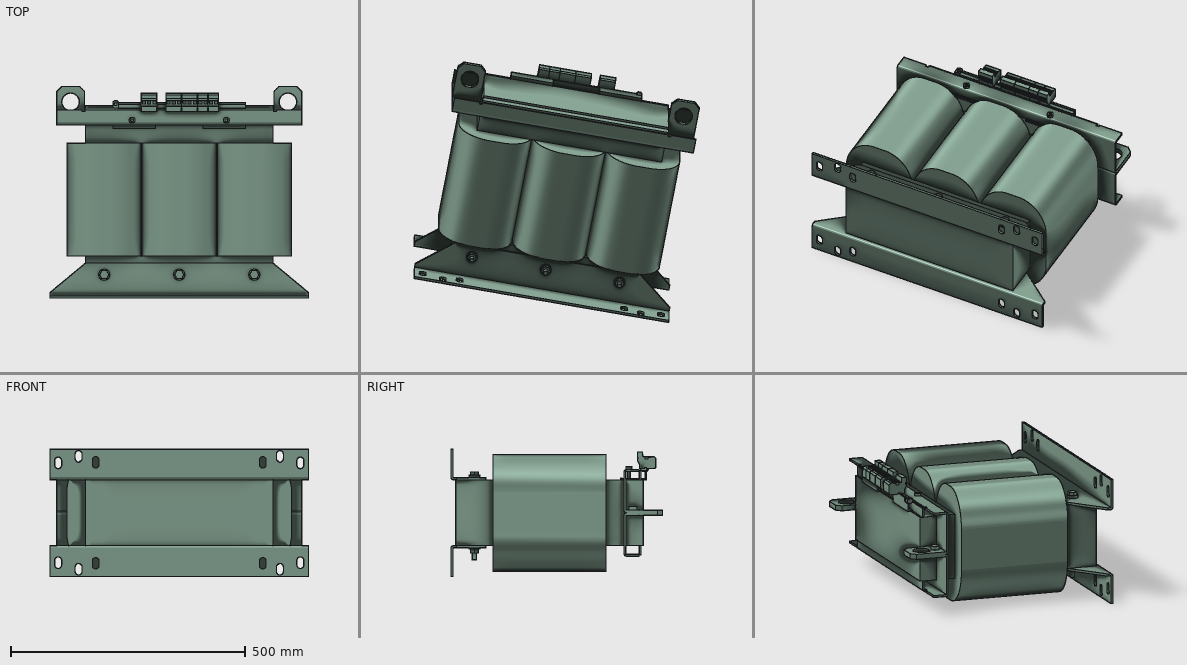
import cadquery as cq


LIMB_PITCH = 160.0
YOKE_DEPTH = 79.5
CORE_WIDTH = 2.5 * LIMB_PITCH
CORE_LENGTH = 400.0
CORE_FRONT = 10.5
CORE_TOP = 70.0
WINDOW_WIDTH = LIMB_PITCH / 2
WINDOW_LENGTH = CORE_LENGTH - 2 * YOKE_DEPTH
COIL_FRONT = CORE_FRONT + YOKE_DEPTH
COIL_HALF_WIDTH = 79.5
COIL_HALF_HEIGHT = 125.0
COIL_FLAT_HALF_WIDTH = 13.0
COIL_FLAT_HALF_HEIGHT = 44.5

FOOT_LENGTH = 552.0
FOOT_SPAN_Z = 272.0
FOOT_TOP = FOOT_SPAN_Z / 2
FOOT_SHEET = 5.0
FOOT_BEND = 6.0
FOOT_DEPTH = 75.0
FOOT_TAPER_START = 12.0
FOOT_SLOT_WIDTH = 14.5
FOOT_SLOT_HEIGHT = 24.5
FOOT_SLOTS = [(258.5, 106.5), (215.0, 120.5), (178.5, 107.5)]

BOLT_Y = 50.0
WASHER_DIAMETER = 24.0
HEX_DIAMETER = 20.0
HEAD_WASHER_HEIGHT = 5.5
HEAD_HEIGHT = 6.5
NUT_WASHER_HEIGHT = 2.0
NUT_HEIGHT = 9.0
STUD_DIAMETER = 9.5
STUD_LENGTH = 14.5

CHANNEL_LENGTH = 523.5
CHANNEL_FRONT = 369.5
CHANNEL_TOP = 93.0
CHANNEL_SHEET = 4.5
CHANNEL_BEND = 6.0
FLANGE_BACK = 402.0
LIP_BACK = 406.0
LIP_LENGTH = 403.0
LIP_TOP = 90.0
NOTCH_WIDTH = 6.0
NOTCH_DEPTH = 4.0

EYE_WIDTH = 59.5
EYE_BACK = 452.0
EYE_CHAMFER = 11.0
EYE_HOLE_DIAMETER = 37.0
EYE_HOLE_Y = 419.0
EYE_SHEET = 5.5
EYE_X = (CHANNEL_LENGTH - EYE_WIDTH) / 2
EYE_BOLT_Y = 388.5
EYE_BOLT_DIAMETER = 17.5
EYE_BOLT_HEIGHT = 8.5

BRACKET_X = 96.0
BRACKET_WIDTH = 91.0
BRACKET_FRONT = 362.0
BRACKET_BACK = 417.5
BRACKET_SHEET = 3.0
BRACKET_LIP_HEIGHT = 4.5
SCREW_X = 100.5
SCREW_Y = 380.0
SCREW_HEAD_DIAMETER = 12.5
SCREW_HEAD_HEIGHT = 5.5
SCREW_SOCKET_DIAMETER = 6.0
SCREW_SOCKET_DEPTH = 2.0
SCREW_SHANK_DIAMETER = 6.5
RAIL_FRONT = 405.0
RAIL_TOP = 95.0
RAIL_RIGHT = BRACKET_X + BRACKET_WIDTH / 2
RAIL_LEFT = -129.5
RAIL_RIDGE_BACK = 413.0
RAIL_RIDGE_HEIGHT = 1.5
END_STOP_WIDTH = 12.0
END_STOP_TOP = 97.0
END_STOP_PROFILE = [
    (405.5, END_STOP_TOP), (405.5, 91.5), (409.5, 88.0),
    (418.0, 88.0), (422.0, 91.5), (422.0, END_STOP_TOP),
]
END_STOP_CHAMFER = 3.5
END_STOP_RECESS_Y = 414.0
END_STOP_RECESS_DIAMETER = 6.5
END_STOP_RECESS_DEPTH = 2.0

ROW_LEFT = -28.5
ROW_WIDTH = 113.0
ROW_POLES = (3, 3, 2, 2)
POLE_WIDTH = ROW_WIDTH / sum(ROW_POLES)
SINGLE_LEFT = -81.0
SINGLE_POLES = 3
BLOCK_GAP = 0.5
STEP_TOP = 120.0
BLOCK_FRONT = 398.0
TERMINAL_PROFILE = [
    (402.5, 94.5), (402.5, 103.0), (BLOCK_FRONT, 111.0), (BLOCK_FRONT, 129.5), (409.0, 129.5), (410.0, STEP_TOP),
    (434.0, STEP_TOP), (438.0, 116.0), (438.0, 96.5), (434.5, 94.5),
]
ENTRY_Y = 417.5
ENTRY_SIZE = 6.5
ENTRY_DEPTH = 5.5
LABEL_FRONT = 422.5
LABEL_BACK = 426.0
FRONT_GROOVE_BOTTOM = 114.0
FRONT_GROOVE_TOP = 118.0
GROOVE_MARGIN = 1.0
GROOVE_DEPTH = 1.5


def box(x0, x1, y0, y1, z0, z1):
    """Box between two opposite corners."""
    return cq.Workplane("XY").box(x1 - x0, y1 - y0, z1 - z0, centered=False).translate((x0, y0, z0))


def rod(x, y, z, diameter, height):
    """Upright cylinder standing on (x, y, z)."""
    return cq.Workplane("XY", origin=(x, y, z)).circle(diameter / 2).extrude(height)


def hexagon(x, y, z, diameter, height):
    """Upright hexagonal prism standing on (x, y, z)."""
    return cq.Workplane("XY", origin=(x, y, z)).polygon(6, diameter).extrude(height)


def along_x(points, x0, x1):
    """Prism along X from a closed outline of (y, z) points."""
    return cq.Workplane("YZ", origin=(x0, 0, 0)).polyline(points).close().extrude(x1 - x0)


def make_core():
    half = CORE_WIDTH / 2
    core = box(-half, half, CORE_FRONT, CORE_FRONT + CORE_LENGTH, -CORE_TOP, CORE_TOP)
    windows = (
        cq.Workplane("XY", origin=(0, COIL_FRONT + WINDOW_LENGTH / 2, 0))
        .pushPoints([(-LIMB_PITCH / 2, 0), (LIMB_PITCH / 2, 0)])
        .rect(WINDOW_WIDTH, WINDOW_LENGTH)
        .extrude(CORE_TOP, both=True)
    )
    return core.cut(windows)


def make_coil(x):
    """Coil with flat sides and quarter-ellipse corners."""
    w, h = COIL_HALF_WIDTH, COIL_HALF_HEIGHT
    fw, fh = COIL_FLAT_HALF_WIDTH, COIL_FLAT_HALF_HEIGHT
    rx, rz = w - fw, h - fh
    return (
        cq.Workplane("XZ", origin=(x, COIL_FRONT, 0))
        .moveTo(w, -fh)
        .lineTo(w, fh)
        .ellipseArc(rx, rz, 0, 90)
        .lineTo(-fw, h)
        .ellipseArc(rx, rz, 90, 180)
        .lineTo(-w, -fh)
        .ellipseArc(rx, rz, 180, 270)
        .lineTo(fw, -h)
        .ellipseArc(rx, rz, 270, 360)
        .close()
        .extrude(-WINDOW_LENGTH)
    )


def make_upper_foot():
    """Angle with a tapered flange on the core and a slotted upright flange."""
    half = FOOT_LENGTH / 2
    angle = (
        box(-half, half, 0, FOOT_DEPTH, CORE_TOP, FOOT_TOP)
        .cut(box(-half, half, FOOT_SHEET, FOOT_DEPTH, CORE_TOP + FOOT_SHEET, FOOT_TOP))
        .edges(cq.NearestToPointSelector((0, 0, CORE_TOP)))
        .fillet(FOOT_BEND)
    )
    plan = (
        cq.Workplane("XY", origin=(0, 0, CORE_TOP))
        .polyline([
            (-half, 0), (half, 0), (half, FOOT_TAPER_START), (CORE_WIDTH / 2, FOOT_DEPTH),
            (-CORE_WIDTH / 2, FOOT_DEPTH), (-half, FOOT_TAPER_START),
        ])
        .close()
        .extrude(FOOT_TOP - CORE_TOP)
    )
    slots = (
        cq.Workplane("XZ")
        .pushPoints([(side * x, z) for x, z in FOOT_SLOTS for side in (-1, 1)])
        .slot2D(FOOT_SLOT_HEIGHT, FOOT_SLOT_WIDTH, 90)
        .extrude(-FOOT_SHEET)
    )
    return angle.intersect(plan).cut(slots)


def make_core_bolt(x):
    """Head and washer on the upper foot; washer, nut and stud end below the lower foot."""
    seat = CORE_TOP + FOOT_SHEET
    nut_seat = -seat - NUT_WASHER_HEIGHT
    nut_bottom = nut_seat - NUT_HEIGHT
    return (
        rod(x, BOLT_Y, seat, WASHER_DIAMETER, HEAD_WASHER_HEIGHT)
        .union(hexagon(x, BOLT_Y, seat + HEAD_WASHER_HEIGHT, HEX_DIAMETER, HEAD_HEIGHT))
        .union(rod(x, BOLT_Y, nut_seat, WASHER_DIAMETER, NUT_WASHER_HEIGHT))
        .union(hexagon(x, BOLT_Y, nut_bottom, HEX_DIAMETER, NUT_HEIGHT))
        .union(rod(x, BOLT_Y, nut_bottom - STUD_LENGTH, STUD_DIAMETER, STUD_LENGTH))
    )


def make_eye(x):
    """Lifting eye: the part of the channel's inner flange that runs out at the back."""
    length = EYE_BACK - CHANNEL_FRONT - CHANNEL_BEND
    return (
        cq.Workplane("XY", origin=(x, EYE_BACK - length / 2, 0))
        .rect(EYE_WIDTH, length)
        .extrude(EYE_SHEET)
        .edges("|Z and >Y")
        .chamfer(EYE_CHAMFER)
        .cut(rod(x, EYE_HOLE_Y, 0, EYE_HOLE_DIAMETER, EYE_SHEET))
    )


def make_upper_channel():
    """U-channel with a turned-down lip over the core and a lifting eye at each end."""
    half, lip_half = CHANNEL_LENGTH / 2, LIP_LENGTH / 2
    web_back = CHANNEL_FRONT + CHANNEL_SHEET
    flange_bottom = CHANNEL_TOP - CHANNEL_SHEET
    channel = (
        box(-half, half, CHANNEL_FRONT, FLANGE_BACK, 0, CHANNEL_TOP)
        .edges("|X and <Y")
        .fillet(CHANNEL_BEND)
        .cut(box(-half, half, web_back, FLANGE_BACK, EYE_SHEET, flange_bottom))
    )
    channel = channel.union(box(-lip_half, lip_half, FLANGE_BACK, LIP_BACK, CORE_TOP, LIP_TOP))
    for side in (-1, 1):
        eye_x = side * EYE_X
        notch_x = side * (lip_half + NOTCH_WIDTH / 2)
        notch = box(
            notch_x - NOTCH_WIDTH / 2, notch_x + NOTCH_WIDTH / 2,
            FLANGE_BACK - NOTCH_DEPTH, FLANGE_BACK, flange_bottom, CHANNEL_TOP,
        )
        channel = channel.union(make_eye(eye_x)).cut(notch)
    return channel


def make_bracket(x):
    """Rail bracket on the core: base plate, low front lip and rear wall up to the rail."""
    x0, x1 = x - BRACKET_WIDTH / 2, x + BRACKET_WIDTH / 2
    lip_back = BRACKET_FRONT + BRACKET_SHEET
    wall_front = BRACKET_BACK - BRACKET_SHEET
    base = box(x0, x1, BRACKET_FRONT, BRACKET_BACK, CORE_TOP, CORE_TOP + BRACKET_SHEET)
    lip = box(x0, x1, BRACKET_FRONT, lip_back, CORE_TOP, CORE_TOP + BRACKET_LIP_HEIGHT)
    wall = box(x0, x1, wall_front, BRACKET_BACK, CORE_TOP, RAIL_TOP)
    return base.union(lip).union(wall)


def make_screw(x):
    """Socket screw holding the channel's outer flange to a bracket."""
    head = rod(x, SCREW_Y, CHANNEL_TOP, SCREW_HEAD_DIAMETER, SCREW_HEAD_HEIGHT)
    socket_floor = CHANNEL_TOP + SCREW_HEAD_HEIGHT - SCREW_SOCKET_DEPTH
    head = head.cut(rod(x, SCREW_Y, socket_floor, SCREW_SOCKET_DIAMETER, SCREW_SOCKET_DEPTH))
    return head.union(rod(x, SCREW_Y, CORE_TOP, SCREW_SHANK_DIAMETER, CHANNEL_TOP - CORE_TOP))


def make_rail():
    """Terminal rail with a raised ridge and an end stop on the left."""
    rail = box(RAIL_LEFT, RAIL_RIGHT, RAIL_FRONT, BRACKET_BACK, CHANNEL_TOP - BRACKET_SHEET, RAIL_TOP)
    ridge = box(RAIL_LEFT, RAIL_RIGHT, RAIL_RIDGE_BACK, BRACKET_BACK, RAIL_TOP, RAIL_TOP + RAIL_RIDGE_HEIGHT)
    stop_x = RAIL_LEFT - END_STOP_WIDTH / 2
    stop_recess = rod(stop_x, END_STOP_RECESS_Y, END_STOP_TOP - END_STOP_RECESS_DEPTH,
                      END_STOP_RECESS_DIAMETER, END_STOP_RECESS_DEPTH)
    end_stop = (
        along_x(END_STOP_PROFILE, RAIL_LEFT - END_STOP_WIDTH, RAIL_LEFT)
        .edges("|Z and >Y")
        .chamfer(END_STOP_CHAMFER)
        .cut(stop_recess)
    )
    return rail.union(ridge).union(end_stop)


def make_terminal_block(left, poles):
    """Stepped terminal block with wire entries and two shallow grooves, a hair narrower than its place."""
    right = left + poles * POLE_WIDTH - BLOCK_GAP
    x0, x1 = left + GROOVE_MARGIN, right - GROOVE_MARGIN
    entries = (
        cq.Workplane("XY", origin=(left, ENTRY_Y, STEP_TOP))
        .pushPoints([((i + 0.5) * POLE_WIDTH, 0) for i in range(poles)])
        .rect(ENTRY_SIZE, ENTRY_SIZE)
        .extrude(-ENTRY_DEPTH)
    )
    label_groove = box(x0, x1, LABEL_FRONT, LABEL_BACK, STEP_TOP - GROOVE_DEPTH, STEP_TOP)
    front_groove = box(
        x0, x1, BLOCK_FRONT, BLOCK_FRONT + GROOVE_DEPTH, FRONT_GROOVE_BOTTOM, FRONT_GROOVE_TOP
    )
    return along_x(TERMINAL_PROFILE, left, right).cut(entries).cut(label_groove).cut(front_groove)


result = make_core()

for limb in (-1, 0, 1):
    result = result.union(make_coil(limb * LIMB_PITCH))

for half_frame in (make_upper_foot(), make_upper_channel()):
    result = result.union(half_frame).union(half_frame.mirror("XY"))

for limb in (-1, 0, 1):
    result = result.union(make_core_bolt(limb * LIMB_PITCH))

for side in (-1, 1):
    result = result.union(rod(side * EYE_X, EYE_BOLT_Y, EYE_SHEET, EYE_BOLT_DIAMETER, EYE_BOLT_HEIGHT))
    result = result.union(make_bracket(side * BRACKET_X))
    result = result.union(make_screw(side * SCREW_X))

result = result.union(make_rail())
result = result.union(make_terminal_block(SINGLE_LEFT, SINGLE_POLES))
block_left = ROW_LEFT
for poles in ROW_POLES:
    result = result.union(make_terminal_block(block_left, poles))
    block_left += poles * POLE_WIDTH